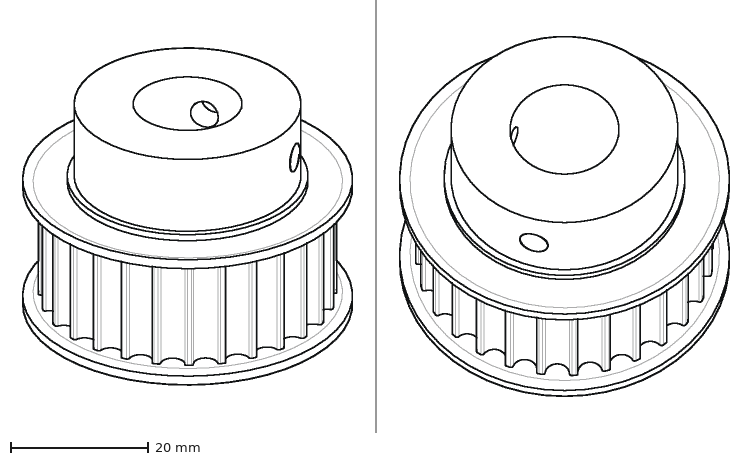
import cadquery as cq
import math

TOOTH_COUNT = 28
TIP_RADIUS = 21.7
TOOTHED_WIDTH = 17.0
GROOVE_DEPTH = 2.05
GROOVE_RADIUS = 1.8
TIP_FILLET = 0.35

HUB_RADIUS = 16.5
HUB_LENGTH = 12.0
LIP_RADIUS = 17.5
BORE_RADIUS = 7.9

FLANGE_RADIUS = 24.0
FLANGE_FLAT_RADIUS = 22.5
FLANGE_THICKNESS = 1.5
FLANGE_DISH = 0.5
LIP_PROTRUSION = 1.0

SCREW_RADIUS = 2.1
SCREW_LENGTH = 4.0
SCREW_DIRECTIONS = [(1, 0, 0), (0, 1, 0)]

LIP_LENGTH = FLANGE_THICKNESS + LIP_PROTRUSION
TEETH_BOTTOM = LIP_LENGTH
TEETH_TOP = TEETH_BOTTOM + TOOTHED_WIDTH
HUB_BOTTOM = TEETH_TOP + LIP_LENGTH
HUB_TOP = HUB_BOTTOM + HUB_LENGTH
SCREW_HEIGHT = (HUB_BOTTOM + HUB_TOP) / 2


def polar(radius, angle):
    return (radius * math.cos(angle), radius * math.sin(angle))


def towards(start, end, distance):
    """Point at the given distance from start on the way to end."""
    share = distance / math.dist(start, end)
    return (start[0] + share * (end[0] - start[0]), start[1] + share * (end[1] - start[1]))


def toothed_outline():
    """Closed outline of round grooves that blend into narrow tooth tips through tip fillets."""
    groove_bottom = TIP_RADIUS - GROOVE_DEPTH
    groove_centre = groove_bottom + GROOVE_RADIUS
    fillet_centre = TIP_RADIUS - TIP_FILLET
    blend_reach = GROOVE_RADIUS + TIP_FILLET
    fillet_angle = math.acos(
        (groove_centre**2 + fillet_centre**2 - blend_reach**2) / (2 * groove_centre * fillet_centre)
    )
    pitch = 2 * math.pi / TOOTH_COUNT

    outline = cq.Workplane("XY").moveTo(*polar(TIP_RADIUS, -fillet_angle))
    for index in range(TOOTH_COUNT):
        middle = index * pitch
        centre = polar(groove_centre, middle)
        entry_fillet = polar(fillet_centre, middle - fillet_angle)
        exit_fillet = polar(fillet_centre, middle + fillet_angle)
        entry_blend = towards(entry_fillet, centre, TIP_FILLET)
        exit_blend = towards(exit_fillet, centre, TIP_FILLET)
        entry_tip = polar(TIP_RADIUS, middle - fillet_angle)
        exit_tip = polar(TIP_RADIUS, middle + fillet_angle)
        entry_chord_middle = towards(entry_tip, entry_blend, math.dist(entry_tip, entry_blend) / 2)
        exit_chord_middle = towards(exit_tip, exit_blend, math.dist(exit_tip, exit_blend) / 2)
        outline = (
            outline.threePointArc(towards(entry_fillet, entry_chord_middle, TIP_FILLET), entry_blend)
            .threePointArc(polar(groove_bottom, middle), exit_blend)
            .threePointArc(towards(exit_fillet, exit_chord_middle, TIP_FILLET), exit_tip)
        )
        next_entry = middle + pitch - fillet_angle
        outline = outline.threePointArc(
            polar(TIP_RADIUS, middle + pitch / 2), polar(TIP_RADIUS, next_entry)
        )
    return outline.close()


def cylinder(radius, bottom, top):
    return cq.Workplane("XY").workplane(offset=bottom).circle(radius).extrude(top - bottom)


def make_set_screw(direction):
    """Plain screw along direction, with its flat outer end tangent to the hub surface."""
    inner_end = HUB_RADIUS - SCREW_LENGTH
    start = cq.Vector(*direction) * inner_end + cq.Vector(0, 0, SCREW_HEIGHT)
    return cq.Solid.makeCylinder(SCREW_RADIUS, SCREW_LENGTH, start, cq.Vector(*direction))


def make_pulley():
    """Toothed rim with end lips and hub, bored through and cross-drilled for the set screws."""
    pulley = (
        toothed_outline()
        .extrude(TOOTHED_WIDTH)
        .translate((0, 0, TEETH_BOTTOM))
        .union(cylinder(LIP_RADIUS, 0, HUB_BOTTOM))
        .union(cylinder(HUB_RADIUS, HUB_BOTTOM, HUB_TOP))
        .cut(cylinder(BORE_RADIUS, 0, HUB_TOP))
    )
    axis_point = cq.Vector(0, 0, SCREW_HEIGHT)
    for direction in SCREW_DIRECTIONS:
        screw_hole = cq.Solid.makeCylinder(SCREW_RADIUS, HUB_RADIUS, axis_point, cq.Vector(*direction))
        pulley = pulley.cut(cq.Workplane(obj=screw_hole))
    return pulley


def make_flange(inner_face, outward):
    """Ring seated on a lip; its outer edge is dished outward (+1 for up, -1 for down)."""
    outer_face = inner_face + outward * FLANGE_THICKNESS
    dish = outward * FLANGE_DISH
    profile = [
        (LIP_RADIUS, inner_face),
        (FLANGE_FLAT_RADIUS, inner_face),
        (FLANGE_RADIUS, inner_face + dish),
        (FLANGE_RADIUS, outer_face + dish),
        (FLANGE_FLAT_RADIUS, outer_face),
        (LIP_RADIUS, outer_face),
    ]
    return cq.Workplane("XZ").polyline(profile).close().revolve(360, (0, 0), (0, 1))


pulley = make_pulley()
bottom_flange = make_flange(TEETH_BOTTOM, -1)
top_flange = make_flange(TEETH_TOP, 1)
set_screws = [make_set_screw(direction) for direction in SCREW_DIRECTIONS]

result = cq.Compound.makeCompound([pulley.val(), bottom_flange.val(), top_flange.val(), *set_screws])